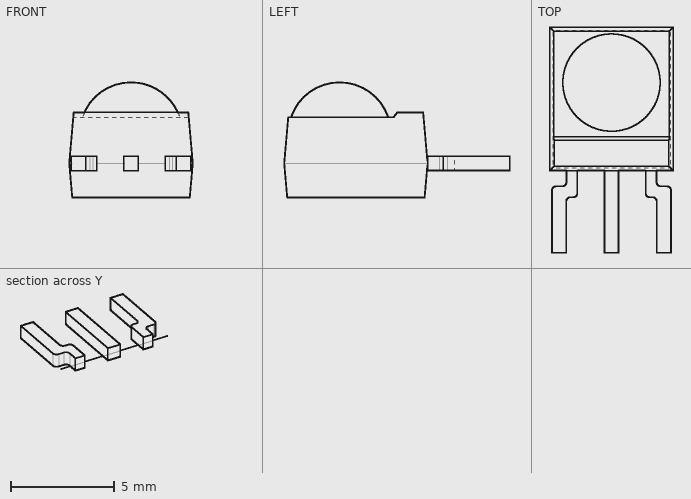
import cadquery as cq
import math

OVERALL_LENGTH = 10.95
OVERALL_HEIGHT = 5.6

HOUSING_WIDTH = 6.0
HOUSING_LENGTH = 6.96
PARTING_HEIGHT = 1.66
LEDGE_HEIGHT = 4.13
DRAFT_ANGLE = 5.0

LENS_FACE_HEIGHT = 3.91
STEP_TOP_Y = 1.48
STEP_FOOT_Y = 1.65

LENS_RADIUS = 2.5
LENS_Y = 4.27
LENS_CENTRE_HEIGHT = OVERALL_HEIGHT - LENS_RADIUS

LEAD_TIP_Y = HOUSING_LENGTH - OVERALL_LENGTH
LEAD_SIZE = 0.7
LEAD_PITCH = 2.54
NECK_WIDTH = 0.54
SHOULDER_Y = -0.76
ELBOW_Y = SHOULDER_Y - NECK_WIDTH
BEND_RADIUS = 0.2


def drafted_half(height):
    """Block rising from the parting plane and narrowing by the draft angle."""
    return (
        cq.Workplane("XY")
        .center(0, HOUSING_LENGTH / 2)
        .rect(HOUSING_WIDTH, HOUSING_LENGTH)
        .extrude(height, taper=DRAFT_ANGLE)
    )


def lens_face_cut():
    """Material removed above the lens face and behind the ledge."""
    step_slope = (STEP_FOOT_Y - STEP_TOP_Y) / (LEDGE_HEIGHT - LENS_FACE_HEIGHT)
    cut_top_y = STEP_FOOT_Y - step_slope * (OVERALL_HEIGHT - LENS_FACE_HEIGHT)
    return (
        cq.Workplane("YZ")
        .moveTo(STEP_FOOT_Y, LENS_FACE_HEIGHT)
        .lineTo(HOUSING_LENGTH, LENS_FACE_HEIGHT)
        .lineTo(HOUSING_LENGTH, OVERALL_HEIGHT)
        .lineTo(cut_top_y, OVERALL_HEIGHT)
        .close()
        .extrude(HOUSING_WIDTH / 2, both=True)
    )


def lens_dome():
    """Spherical cap above the lens face, revolved about the vertical lens axis."""
    rise = LENS_FACE_HEIGHT - LENS_CENTRE_HEIGHT
    rim_radius = math.sqrt(LENS_RADIUS**2 - rise**2)
    arc_angle = (math.asin(rise / LENS_RADIUS) + math.pi / 2) / 2
    arc_middle = (LENS_RADIUS * math.cos(arc_angle), LENS_RADIUS * math.sin(arc_angle))
    return (
        cq.Workplane("XZ")
        .moveTo(0, rise)
        .lineTo(rim_radius, rise)
        .threePointArc(arc_middle, (0, LENS_RADIUS))
        .close()
        .revolve(360, (0, 0), (0, 1))
        .translate((0, LENS_Y, LENS_CENTRE_HEIGHT))
    )


def make_housing():
    """Drafted housing with its lowered lens face and lens."""
    upper = drafted_half(LEDGE_HEIGHT - PARTING_HEIGHT)
    lower = drafted_half(PARTING_HEIGHT).mirror("XY")
    housing = upper.union(lower).translate((0, 0, PARTING_HEIGHT))
    return housing.cut(lens_face_cut()).union(lens_dome())


def extrude_lead(outline):
    """Give a lead outline its thickness, centred on the parting plane."""
    return outline.extrude(LEAD_SIZE / 2, both=True).translate((0, 0, PARTING_HEIGHT))


def make_middle_lead():
    """Straight lead on the centre line."""
    outline = cq.Workplane("XY").center(0, LEAD_TIP_Y / 2).rect(LEAD_SIZE, -LEAD_TIP_Y)
    return extrude_lead(outline)


def make_outer_lead(side):
    """Jogged lead on the +X (side = 1) or -X (side = -1) half."""
    outer_x = side * (LEAD_PITCH + LEAD_SIZE / 2)
    neck_outer_x = side * (LEAD_PITCH - LEAD_SIZE / 2)
    neck_inner_x = neck_outer_x - side * NECK_WIDTH
    outline = cq.Workplane("XY").polyline([
        (neck_inner_x, 0),
        (neck_outer_x, 0),
        (neck_outer_x, SHOULDER_Y),
        (outer_x, SHOULDER_Y),
        (outer_x, LEAD_TIP_Y),
        (neck_outer_x, LEAD_TIP_Y),
        (neck_outer_x, ELBOW_Y),
        (neck_inner_x, ELBOW_Y),
    ]).close()
    lead = extrude_lead(outline)
    bend_middle_y = (SHOULDER_Y + ELBOW_Y) / 2
    bend_edges = cq.selectors.BoxSelector(
        (-HOUSING_WIDTH, bend_middle_y - NECK_WIDTH, 0),
        (HOUSING_WIDTH, bend_middle_y + NECK_WIDTH, LEDGE_HEIGHT),
    )
    return lead.edges("|Z").edges(bend_edges).fillet(BEND_RADIUS)


middle_lead = make_middle_lead()
outer_leads = [make_outer_lead(side) for side in (-1, 1)]
housing = make_housing()

result = cq.Compound.makeCompound([
    housing.val(),
    middle_lead.val(),
    *[lead.val() for lead in outer_leads],
])